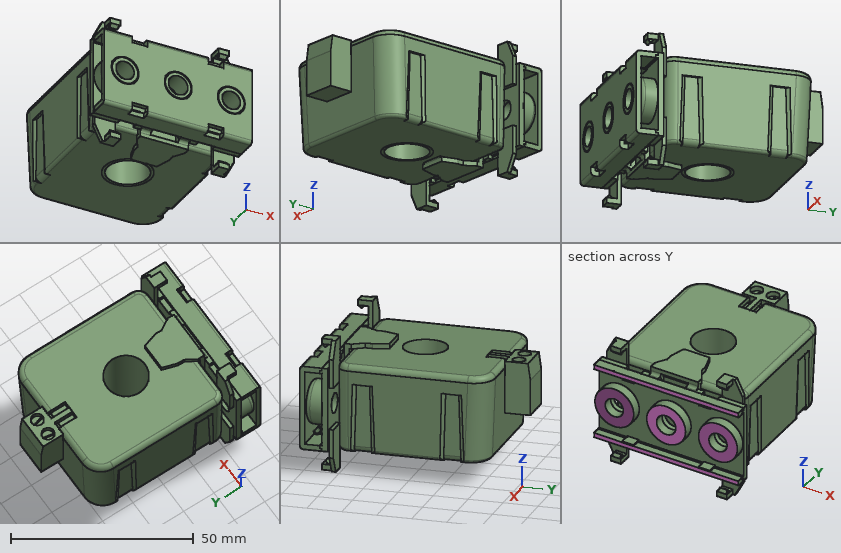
import cadquery as cq
import math

TOTAL_DEPTH = 60.45

COVER_WIDTH = 46.0
COVER_HEIGHT = 24.05
COVER_WALL = 1.4
COVER_LEG = 1.6
COVER_FILLET = 1.0
WINDOW_X = 11.82
WINDOW_WIDTH = 4.8
WINDOW_DEPTH = 2.4
WINDOW_HEIGHT = 2.4

PLATE_FRONT = 6.35
PLATE_BACK = 8.0
RAIL_DEPTH = 0.65
RAIL_HEIGHT = 0.8
ARM_X = 12.15
ARM_WIDTH = 3.6
ARM_TIP = 2.6
ARM_THICKNESS = 0.35
RELIEF_WIDTH = 4.95
RELIEF_DEPTH = 1.2
UPRIGHT_LOW_Z = 6.05
STRAP_BACK = 9.45
TONGUE_TOP_Z = 14.2
TONGUE_BOTTOM_Z = 12.8
TONGUE_HALF_WIDTH = 7.5
TONGUE_WAIST_HALF_WIDTH = 5.45
TONGUE_TIP_HALF_WIDTH = 4.05
TONGUE_SHOULDER_Y = 10.05
TONGUE_WAIST_FRONT_Y = 13.35
TONGUE_WAIST_BACK_Y = 15.35
TONGUE_TIP_Y = 19.9
TONGUE_FILLET = 0.9
OPENING_HALF_WIDTH = 4.3
OPENING_CORNER_RADIUS = 0.6
LIP_LENGTH = 1.65
LIP_WIDTH = 6.95
HOOK_INNER_X = 15.25
HOOK_OUTER_X = 21.65
HOOK_TIP_X = 19.2
HOOK_TOP_Z = 38.0 / 2
HOOK_BACK = 9.2
HOOK_WIDTH = 3.25
HOOK_THICKNESS = 1.65
HOOK_FRONT = 4.95
BARB_LENGTH = 1.8
BARB_HEIGHT = 0.95
BARB_INNER_GAP = 0.3
BARB_WIDTH = 2.7
BARB_TIP_WIDTH = 2.35

BUSHING_SPACING = 16.5
BUSHING_DIAMETER = 12.5
BUSHING_FACE_DIAMETER = 9.85
BOSS_DIAMETER = 8.0
BOSS_HOLE_DIAMETER = 8.5
SIDE_BORE = 5.6
MIDDLE_BORE = 6.0

HOUSING_X = -0.09
HOUSING_HALF_WIDTH = 20.7
HOUSING_FRONT = 9.7
HOUSING_BACK = 53.3
HOUSING_TOP_Z = TONGUE_BOTTOM_Z
HOUSING_BOTTOM_Z = -12.45
LID_THICKNESS = 1.75
LID_FILLET = 1.65
FRONT_CORNER_RADIUS = 3.25
BACK_CORNER_RADIUS = 6.1
SIDE_DRAFT = 0.55
BACK_DRAFT = 1.1
BASE_FILLET = 0.95
CORE_DIAMETER = 12.5
SLEEVE_WALL = 0.9
CORE_Y = 28.9
POCKET_YS = (17.1, 42.6)
POCKET_TOP_Z = 7.25
POCKET_TOP_HALF_WIDTH = 2.85
POCKET_BOTTOM_HALF_WIDTH = 3.45
POCKET_BEVEL = 0.95
POCKET_DEPTH = 0.85
POCKET_FOOT_RADIUS = 1.75

TERMINAL_HALF_WIDTH = 5.15
TERMINAL_FRONT = 53.1
TERMINAL_BOTTOM_Z = -2.1
TERMINAL_SLANT = 0.65
TERMINAL_SLANT_Z = 8.15
KEY_FRONT = 47.15
KEY_WIDTH = 1.6
KEYWAY_WIDTH = 5.55
KEY_HEIGHT = 1.5
NOTCH_FRONT = 51.95
SCREW_SPACING = 5.2
SCREW_Y = 56.45
SCREW_DIAMETER = 3.6
SCREW_SINK = 1.5
SCREW_SLOT_WIDTH = 0.25
SCREW_SLOT_DEPTH = 0.3
SCREW_SLOT_ANGLES = (-10, 15)

COVER_HALF_HEIGHT = COVER_HEIGHT / 2
LEG_INNER_Z = COVER_HALF_HEIGHT - COVER_LEG
SPLIT_Z = HOUSING_TOP_Z - LID_THICKNESS
BUSHINGS = ((-BUSHING_SPACING, SIDE_BORE), (0, MIDDLE_BORE), (BUSHING_SPACING, SIDE_BORE))


def box(x_range, y_range, z_range):
    """Box between two limits along each axis."""
    low, high = zip(x_range, y_range, z_range)
    size = [b - a for a, b in zip(low, high)]
    return cq.Workplane("XY").box(*size, centered=False).translate(low)


def wide_box(width, y_range, z_range, x=0):
    """Box of the given width centred on x."""
    return box((x - width / 2, x + width / 2), y_range, z_range)


def mirrored(shape, plane):
    """The shape together with its mirror image."""
    return shape.union(shape.mirror(plane))


def four_fold(shape):
    """The shape copied to all four quadrants of the XZ plane."""
    return mirrored(mirrored(shape, "YZ"), "XY")


def cylinder_along_y(diameter, x, y_range):
    start, end = y_range
    disc = cq.Workplane("XZ", origin=(x, start, 0)).circle(diameter / 2)
    return disc.extrude(start - end)


def rails():
    """Rails along the plate that fit the rebates in the ends of the cover legs."""
    rail = wide_box(
        COVER_WIDTH, (PLATE_FRONT - RAIL_DEPTH, PLATE_FRONT), (LEG_INNER_Z, LEG_INNER_Z + RAIL_HEIGHT)
    )
    return mirrored(rail, "XY")


def make_cover():
    outside = wide_box(COVER_WIDTH, (0, PLATE_FRONT), (-COVER_HALF_HEIGHT, COVER_HALF_HEIGHT))
    outside = outside.edges("|X and <Y").fillet(COVER_FILLET)
    inside = wide_box(COVER_WIDTH, (COVER_WALL, PLATE_FRONT), (-LEG_INNER_Z, LEG_INNER_Z))
    window = wide_box(
        WINDOW_WIDTH, (0, WINDOW_DEPTH), (COVER_HALF_HEIGHT - WINDOW_HEIGHT, COVER_HALF_HEIGHT), WINDOW_X
    )
    cover = outside.cut(inside).cut(rails()).cut(four_fold(window))
    for x, _ in BUSHINGS:
        cover = cover.cut(cylinder_along_y(BOSS_HOLE_DIAMETER, x, (0, COVER_WALL)))
    return cover


def hook():
    """Upright on the back of the plate, with a barbed hook reaching forward at its top."""
    upright = (
        cq.Workplane("XZ", origin=(0, HOOK_BACK, 0))
        .polyline([
            (HOOK_INNER_X, UPRIGHT_LOW_Z),
            (HOOK_OUTER_X, UPRIGHT_LOW_Z),
            (HOOK_OUTER_X, TONGUE_TOP_Z),
            (HOOK_TIP_X, HOOK_TOP_Z),
            (HOOK_INNER_X, HOOK_TOP_Z),
        ])
        .close()
        .extrude(HOOK_BACK - PLATE_BACK)
    )
    underside = HOOK_TOP_Z - HOOK_THICKNESS
    reach = box(
        (HOOK_INNER_X, HOOK_INNER_X + HOOK_WIDTH), (HOOK_FRONT, PLATE_BACK), (underside, HOOK_TOP_Z)
    )
    barb_x = HOOK_INNER_X + BARB_INNER_GAP + BARB_WIDTH / 2
    barb_y = HOOK_FRONT + BARB_LENGTH / 2
    apex_z = underside - BARB_HEIGHT
    wedge = (
        cq.Workplane("YZ", origin=(barb_x, 0, 0))
        .polyline([
            (HOOK_FRONT, underside),
            (HOOK_FRONT + BARB_LENGTH, underside),
            (barb_y, apex_z),
        ])
        .close()
        .extrude(BARB_WIDTH / 2, both=True)
    )
    flanks = (
        cq.Workplane("XZ", origin=(barb_x, HOOK_FRONT + BARB_LENGTH, 0))
        .polyline([
            (-BARB_WIDTH / 2, underside),
            (BARB_WIDTH / 2, underside),
            (BARB_TIP_WIDTH / 2, apex_z),
            (-BARB_TIP_WIDTH / 2, apex_z),
        ])
        .close()
        .extrude(BARB_LENGTH)
    )
    return upright.union(reach).union(wedge.intersect(flanks))


def tongue():
    """Waisted tongue that lies on the housing, with two straps behind the plate and fillets onto it."""
    right_side = [
        (TONGUE_HALF_WIDTH, PLATE_BACK),
        (TONGUE_HALF_WIDTH, TONGUE_SHOULDER_Y),
        (TONGUE_WAIST_HALF_WIDTH, TONGUE_WAIST_FRONT_Y),
        (TONGUE_WAIST_HALF_WIDTH, TONGUE_WAIST_BACK_Y),
        (TONGUE_TIP_HALF_WIDTH, TONGUE_TIP_Y),
    ]
    left_side = [(-x, y) for x, y in reversed(right_side)]
    blade = (
        cq.Workplane("XY", origin=(0, 0, TONGUE_BOTTOM_Z))
        .polyline(right_side + left_side)
        .close()
        .extrude(TONGUE_TOP_Z - TONGUE_BOTTOM_Z)
    )
    strap = box(
        (OPENING_HALF_WIDTH, TONGUE_HALF_WIDTH), (PLATE_BACK, STRAP_BACK), (UPRIGHT_LOW_Z, TONGUE_BOTTOM_Z)
    )
    bend = wide_box(
        2 * TONGUE_HALF_WIDTH,
        (PLATE_BACK - TONGUE_FILLET, PLATE_BACK),
        (COVER_HALF_HEIGHT, COVER_HALF_HEIGHT + TONGUE_FILLET),
    )
    hollow = (
        cq.Workplane("YZ", origin=(0, PLATE_BACK - TONGUE_FILLET, COVER_HALF_HEIGHT + TONGUE_FILLET))
        .circle(TONGUE_FILLET)
        .extrude(TONGUE_HALF_WIDTH, both=True)
    )
    return blade.union(mirrored(strap, "YZ")).union(bend.cut(hollow))


def tongue_opening():
    """Round-cornered slot under the tongue, as deep in the plate edge as the snap arm reliefs."""
    slot = wide_box(
        2 * OPENING_HALF_WIDTH,
        (PLATE_FRONT, PLATE_BACK),
        (COVER_HALF_HEIGHT - RELIEF_DEPTH, TONGUE_BOTTOM_Z),
    )
    return slot.edges("|Y and <Z").fillet(OPENING_CORNER_RADIUS)


def make_frame():
    plate = wide_box(COVER_WIDTH, (PLATE_FRONT, PLATE_BACK), (-COVER_HALF_HEIGHT, COVER_HALF_HEIGHT))
    snap_arm = wide_box(
        ARM_WIDTH, (ARM_TIP, PLATE_FRONT), (LEG_INNER_Z - ARM_THICKNESS, LEG_INNER_Z), ARM_X
    )
    relief = wide_box(
        RELIEF_WIDTH,
        (PLATE_FRONT, PLATE_BACK),
        (COVER_HALF_HEIGHT - RELIEF_DEPTH, COVER_HALF_HEIGHT),
        ARM_X,
    )
    frame = plate.cut(four_fold(relief)).union(rails())
    frame = frame.union(four_fold(snap_arm)).union(four_fold(hook()))
    frame = frame.union(mirrored(tongue(), "XY")).cut(mirrored(tongue_opening(), "XY"))
    lip = wide_box(
        LIP_WIDTH, (TONGUE_TIP_Y - LIP_LENGTH, TONGUE_TIP_Y), (-TONGUE_BOTTOM_Z, HOUSING_BOTTOM_Z)
    )
    frame = frame.union(lip)
    for x, bore in BUSHINGS:
        frame = frame.cut(cylinder_along_y(bore, x, (PLATE_FRONT, PLATE_BACK)))
    return frame


def make_bushing(x, bore):
    """Flanged sleeve on the plate whose boss fills the hole in the cover."""
    flange = cylinder_along_y(BUSHING_DIAMETER, x, (COVER_WALL, PLATE_FRONT))
    flange = flange.faces("<Y").edges().fillet((BUSHING_DIAMETER - BUSHING_FACE_DIAMETER) / 2)
    boss = cylinder_along_y(BOSS_DIAMETER, x, (0, COVER_WALL))
    return flange.union(boss).cut(cylinder_along_y(bore, x, (0, PLATE_FRONT)))


def housing_outline(z, side_inset=0, back_inset=0):
    """Closed rounded outline at height z, with its sides and back moved in by the insets."""
    half = HOUSING_HALF_WIDTH - side_inset
    back = HOUSING_BACK - back_inset
    front_radius = FRONT_CORNER_RADIUS
    back_radius = BACK_CORNER_RADIUS
    diagonal = 1 - math.sqrt(0.5)
    front_mid = front_radius * diagonal
    back_mid = back_radius * diagonal
    outline = (
        cq.Workplane("XY", origin=(HOUSING_X, 0, z))
        .moveTo(front_radius - half, HOUSING_FRONT)
        .lineTo(half - front_radius, HOUSING_FRONT)
        .threePointArc((half - front_mid, HOUSING_FRONT + front_mid), (half, HOUSING_FRONT + front_radius))
        .lineTo(half, back - back_radius)
        .threePointArc((half - back_mid, back - back_mid), (half - back_radius, back))
        .lineTo(back_radius - half, back)
        .threePointArc((back_mid - half, back - back_mid), (-half, back - back_radius))
        .lineTo(-half, HOUSING_FRONT + front_radius)
        .threePointArc((front_mid - half, HOUSING_FRONT + front_mid), (front_radius - half, HOUSING_FRONT))
        .close()
    )
    return outline.val()


def core_cylinder(diameter):
    """Cylinder of the given diameter through the whole housing, around the path of the conductor."""
    return (
        cq.Workplane("XY", origin=(HOUSING_X, CORE_Y, HOUSING_BOTTOM_Z))
        .circle(diameter / 2)
        .extrude(HOUSING_TOP_Z - HOUSING_BOTTOM_Z)
    )


def side_pocket(y):
    """Bevelled trapezoid recess in the drafted -X side, with an upright floor, open at the bottom."""
    wall_x = HOUSING_X - HOUSING_HALF_WIDTH
    floor_x = wall_x + POCKET_DEPTH
    wall_drop = (SPLIT_Z - POCKET_TOP_Z) / (SPLIT_Z - HOUSING_BOTTOM_Z)

    def trapezoid(top_x, bottom_x, narrowing):
        top = POCKET_TOP_HALF_WIDTH - narrowing
        bottom = POCKET_BOTTOM_HALF_WIDTH - narrowing
        corners = [
            (top_x, y - top, POCKET_TOP_Z),
            (top_x, y + top, POCKET_TOP_Z),
            (bottom_x, y + bottom, HOUSING_BOTTOM_Z),
            (bottom_x, y - bottom, HOUSING_BOTTOM_Z),
        ]
        return cq.Wire.makePolygon([cq.Vector(*corner) for corner in corners], close=True)

    mouth = trapezoid(wall_x + SIDE_DRAFT * wall_drop, wall_x + SIDE_DRAFT, 0)
    floor = trapezoid(floor_x, floor_x, POCKET_BEVEL)
    recess = cq.Workplane(cq.Solid.makeLoft([mouth, floor], True))
    return recess.union(pocket_foot(floor_x, y))


def pocket_foot(floor_x, y):
    """Space outside the arc that rounds the bottom edge of a pocket floor."""
    arc_inset = POCKET_FOOT_RADIUS * (1 - math.sqrt(0.5))
    half_width = POCKET_BOTTOM_HALF_WIDTH - POCKET_BEVEL
    return (
        cq.Workplane("XZ", origin=(floor_x, y, HOUSING_BOTTOM_Z))
        .moveTo(-POCKET_DEPTH, 0)
        .lineTo(POCKET_FOOT_RADIUS, 0)
        .threePointArc((arc_inset, arc_inset), (0, POCKET_FOOT_RADIUS))
        .lineTo(-POCKET_DEPTH, POCKET_FOOT_RADIUS)
        .close()
        .extrude(half_width, both=True)
    )


def make_base():
    top = housing_outline(SPLIT_Z)
    bottom = housing_outline(HOUSING_BOTTOM_Z, SIDE_DRAFT, BACK_DRAFT)
    base = cq.Workplane(cq.Solid.makeLoft([top, bottom], True))
    base = base.faces("<Z").edges().fillet(BASE_FILLET)
    middle = (HOUSING_X, 0, 0)
    for y in POCKET_YS:
        pocket = side_pocket(y)
        base = base.cut(pocket).cut(pocket.mirror("YZ", middle))
    return base.cut(core_cylinder(CORE_DIAMETER + 2 * SLEEVE_WALL))


def make_lid():
    """Filleted lid with the sleeve around the conductor and the keyway for the terminal block."""
    lid = cq.Workplane(cq.Solid.extrudeLinear(housing_outline(SPLIT_Z), [], cq.Vector(0, 0, LID_THICKNESS)))
    lid = lid.faces(">Z").edges().fillet(LID_FILLET)
    lid = lid.union(core_cylinder(CORE_DIAMETER + 2 * SLEEVE_WALL)).cut(core_cylinder(CORE_DIAMETER))
    keyway = wide_box(
        KEYWAY_WIDTH, (KEY_FRONT, HOUSING_BACK), (HOUSING_TOP_Z - KEY_HEIGHT, HOUSING_TOP_Z), HOUSING_X
    )
    notch = wide_box(KEYWAY_WIDTH, (NOTCH_FRONT, HOUSING_BACK), (SPLIT_Z, HOUSING_TOP_Z), HOUSING_X)
    return lid.cut(keyway).cut(notch)


def make_terminal():
    """Screw terminal block behind the housing, held by a key in the keyway of the lid."""
    block = (
        cq.Workplane("YZ", origin=(HOUSING_X, 0, 0))
        .polyline([
            (TERMINAL_FRONT, TERMINAL_BOTTOM_Z),
            (TOTAL_DEPTH, TERMINAL_BOTTOM_Z),
            (TOTAL_DEPTH, TERMINAL_SLANT_Z),
            (TOTAL_DEPTH - TERMINAL_SLANT, HOUSING_TOP_Z),
            (TERMINAL_FRONT, HOUSING_TOP_Z),
        ])
        .close()
        .extrude(TERMINAL_HALF_WIDTH, both=True)
    )
    key = wide_box(
        KEY_WIDTH, (KEY_FRONT, TERMINAL_FRONT), (HOUSING_TOP_Z - KEY_HEIGHT, HOUSING_TOP_Z), HOUSING_X
    )
    terminal = block.union(key)
    for side, angle in zip((-1, 1), SCREW_SLOT_ANGLES):
        screw_head = cq.Workplane(
            "XY", origin=(HOUSING_X + side * SCREW_SPACING / 2, SCREW_Y, HOUSING_TOP_Z - SCREW_SINK)
        )
        sink = screw_head.circle(SCREW_DIAMETER / 2).extrude(SCREW_SINK)
        slot = screw_head.transformed(rotate=(0, 0, angle)).rect(SCREW_SLOT_WIDTH, SCREW_DIAMETER)
        slot = slot.extrude(-SCREW_SLOT_DEPTH)
        terminal = terminal.cut(sink).cut(slot)
    return terminal


cover = make_cover()
frame = make_frame()
bushings = [make_bushing(x, bore) for x, bore in BUSHINGS]
terminal = make_terminal()
base = make_base().cut(terminal)
lid = make_lid().cut(terminal)

result = cq.Compound.makeCompound([
    cover.val(),
    frame.val(),
    *[bushing.val() for bushing in bushings],
    base.val(),
    lid.val(),
    terminal.val(),
])